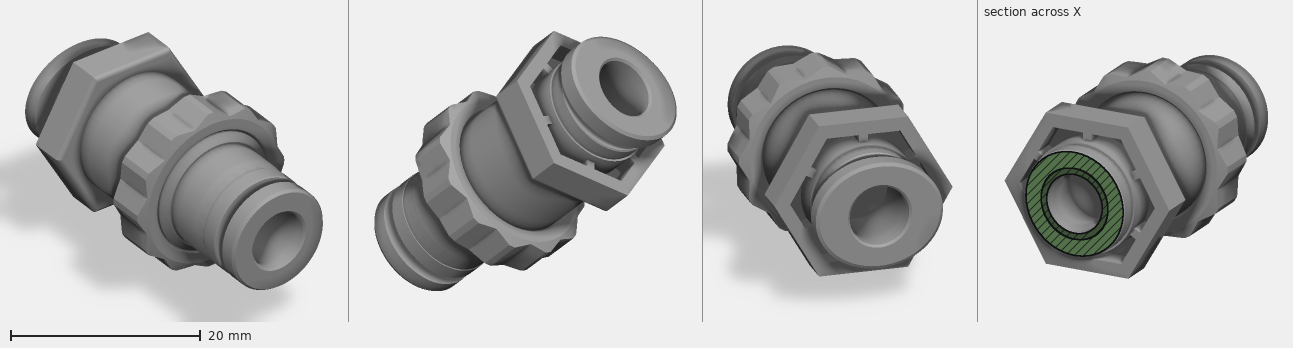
import cadquery as cq
import math


TOTAL_LENGTH = 36.0
HEX_WIDTH = 17.0

CAP_DIAMETER = 11.9
OVAL_CAP_WIDTH = 14.0
CAP_THICKNESS = 2.0
CAP_CHAMFER_LENGTH = 0.35
CAP_CHAMFER_DEPTH = 0.25
OVAL_CHAMFER_LENGTH = 0.25
OVAL_CHAMFER_DEPTH = 0.35
STEM_DIAMETER = 7.9
BORE_DIAMETER = 6.55
BORE_CHAMFER = 0.25
SLEEVE_LENGTH = 8.17

HOUSING_START = 3.15
COLLAR_START = 5.0
FLANGE_START = 5.98
FLANGE_END = 10.0
NUT_START = 19.2
NUT_LENGTH = 5.0
CONE_LENGTH = 0.8
TAPER_START = 28.9
END_RING_START = 30.85
HOUSING_END = 32.7

END_RING_DIAMETER = CAP_DIAMETER
COLLAR_DIAMETER = 12.4
BARREL_DIAMETER = 14.0
SPIGOT_DIAMETER = 12.0
TAPER_END_DIAMETER = 11.65
RIM_CHAMFER = 0.15

FLANGE_EDGE_RADIUS = 0.5
POCKET_WIDTH = BARREL_DIAMETER
POCKET_DEPTH = 2.4
RIB_WIDTH = 0.97

NUT_TIP_DIAMETER = 19.2
NUT_FACE_DIAMETER = HEX_WIDTH
NUT_CHAMFER_LENGTH = 0.4
NUT_COUNTERSINK = 0.3


def corner_diameter(across_flats):
    return across_flats / math.cos(math.radians(30))


def cylinder_x(diameter, start, end):
    """Solid cylinder on the X axis between two stations."""
    return cq.Workplane("YZ", origin=(start, 0, 0)).circle(diameter / 2).extrude(end - start)


def hexagon_x(across_flats, start, end):
    """Hexagonal prism on the X axis with corners toward +Y and -Y."""
    section = cq.Workplane("YZ", origin=(start, 0, 0)).polygon(6, corner_diameter(across_flats))
    return section.extrude(end - start)


def turned(profile):
    """Revolve (x, radius) points around the X axis."""
    return cq.Workplane("XY").polyline(profile).close().revolve(360, (0, 0, 0), (1, 0, 0))


def cap(width_y, chamfer_length, chamfer_depth):
    """Sleeve cap with its outer face at X = 0, elliptical when wider along Y."""
    half_y = width_y / 2
    half_z = CAP_DIAMETER / 2
    plate = (
        cq.Workplane("YZ", origin=(chamfer_length, 0, 0))
        .ellipse(half_y, half_z)
        .extrude(CAP_THICKNESS - chamfer_length)
    )
    bevel = (
        cq.Workplane("YZ")
        .ellipse(half_y - chamfer_depth, half_z - chamfer_depth)
        .workplane(offset=chamfer_length)
        .ellipse(half_y, half_z)
        .loft()
    )
    return plate.union(bevel)


def release_sleeve(width_y, chamfer_length, chamfer_depth):
    """Cap and stem with a through bore, outer face at X = 0 and stem toward +X."""
    stem = cylinder_x(STEM_DIAMETER, CAP_THICKNESS, SLEEVE_LENGTH)
    bore_radius = BORE_DIAMETER / 2
    bore = turned([
        (0, 0),
        (0, bore_radius + BORE_CHAMFER),
        (BORE_CHAMFER, bore_radius),
        (SLEEVE_LENGTH, bore_radius),
        (SLEEVE_LENGTH, 0),
    ])
    return cap(width_y, chamfer_length, chamfer_depth).union(stem).cut(bore)


def housing_core():
    """Turned housing, including the collar that runs on inside the flange pocket."""
    ring_radius = END_RING_DIAMETER / 2
    cone_start = NUT_START + NUT_LENGTH
    cone_end = cone_start + CONE_LENGTH
    return turned([
        (HOUSING_START, 0),
        (HOUSING_START, ring_radius - RIM_CHAMFER),
        (HOUSING_START + RIM_CHAMFER, ring_radius),
        (COLLAR_START, ring_radius),
        (COLLAR_START, COLLAR_DIAMETER / 2),
        (FLANGE_END, COLLAR_DIAMETER / 2),
        (FLANGE_END, BARREL_DIAMETER / 2),
        (cone_start, BARREL_DIAMETER / 2),
        (cone_end, BARREL_DIAMETER / 2 - CONE_LENGTH),
        (cone_end, SPIGOT_DIAMETER / 2),
        (TAPER_START, SPIGOT_DIAMETER / 2),
        (END_RING_START, TAPER_END_DIAMETER / 2),
        (END_RING_START, ring_radius),
        (HOUSING_END - RIM_CHAMFER, ring_radius),
        (HOUSING_END, ring_radius - RIM_CHAMFER),
        (HOUSING_END, 0),
    ])


def flange_ribs():
    """Three bars across the pocket, one rib on the middle of each of the six flats."""
    bar = cq.Workplane("XY").box(POCKET_DEPTH, RIB_WIDTH, POCKET_WIDTH)
    bar = bar.translate((FLANGE_START + POCKET_DEPTH / 2, 0, 0))
    ribs = bar
    for angle in (60, 120):
        ribs = ribs.union(bar.rotate((0, 0, 0), (1, 0, 0), angle))
    return ribs


def flange():
    """Hexagonal flange with a ribbed hexagonal pocket in its left face."""
    plate = hexagon_x(HEX_WIDTH, FLANGE_START, FLANGE_END).faces(">X").edges().fillet(FLANGE_EDGE_RADIUS)
    pocket = hexagon_x(POCKET_WIDTH, FLANGE_START, FLANGE_START + POCKET_DEPTH)
    return plate.cut(pocket.cut(flange_ribs()))


def make_housing():
    left_socket = cylinder_x(STEM_DIAMETER, HOUSING_START, SLEEVE_LENGTH)
    right_socket = cylinder_x(STEM_DIAMETER, TOTAL_LENGTH - SLEEVE_LENGTH, HOUSING_END)
    return housing_core().union(flange()).cut(left_socket).cut(right_socket)


def make_lock_nut():
    """Two hexagons turned 30 degrees apart, with tapered tips and a countersunk bore."""
    nut_end = NUT_START + NUT_LENGTH
    hexagon = hexagon_x(HEX_WIDTH, NUT_START, nut_end)
    star = hexagon.union(hexagon.rotate((0, 0, 0), (1, 0, 0), 30))
    tip_envelope = turned([
        (NUT_START, 0),
        (NUT_START, NUT_FACE_DIAMETER / 2),
        (NUT_START + NUT_CHAMFER_LENGTH, NUT_TIP_DIAMETER / 2),
        (nut_end - NUT_CHAMFER_LENGTH, NUT_TIP_DIAMETER / 2),
        (nut_end, NUT_FACE_DIAMETER / 2),
        (nut_end, 0),
    ])
    bore_radius = BARREL_DIAMETER / 2
    bore = turned([
        (NUT_START, 0),
        (NUT_START, bore_radius + NUT_COUNTERSINK),
        (NUT_START + NUT_COUNTERSINK, bore_radius),
        (nut_end - NUT_COUNTERSINK, bore_radius),
        (nut_end, bore_radius + NUT_COUNTERSINK),
        (nut_end, 0),
    ])
    return star.intersect(tip_envelope).cut(bore)


housing = make_housing()
lock_nut = make_lock_nut()
left_sleeve = release_sleeve(OVAL_CAP_WIDTH, OVAL_CHAMFER_LENGTH, OVAL_CHAMFER_DEPTH)
right_sleeve = (
    release_sleeve(CAP_DIAMETER, CAP_CHAMFER_LENGTH, CAP_CHAMFER_DEPTH)
    .mirror("YZ")
    .translate((TOTAL_LENGTH, 0, 0))
)

result = cq.Compound.makeCompound([
    housing.val(),
    lock_nut.val(),
    left_sleeve.val(),
    right_sleeve.val(),
])